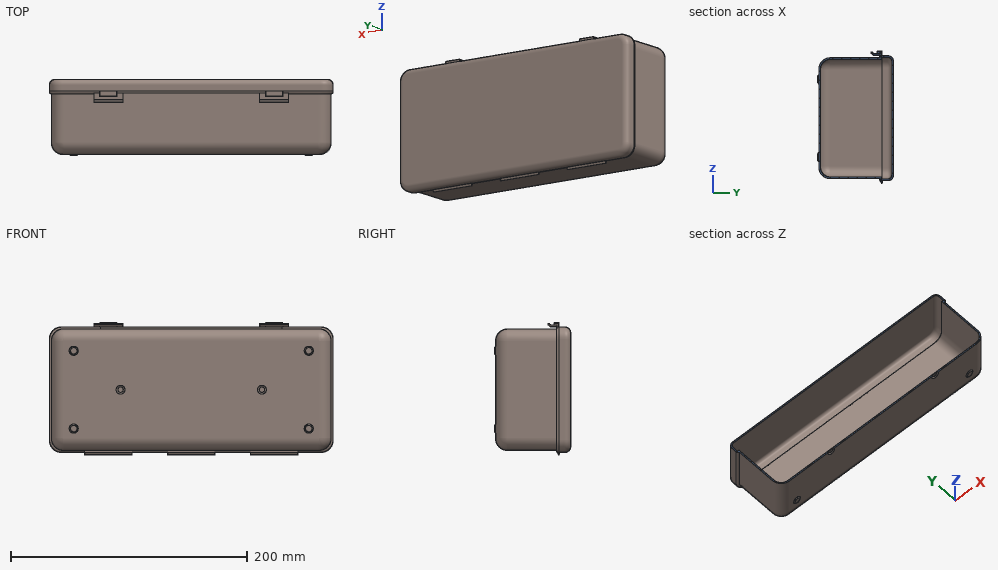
import cadquery as cq


lid_length = 240.5
lid_height = 106.3
wall = 1.7
box_length = lid_length - 2 * wall
box_height = lid_height - 2 * wall
floor_y = -31.5
seam_y = 22.0
lid_top_y = 32.2
corner_radius = 10.3
floor_edge_radius = 10.0
lid_edge_radius = 5.0

bead_depth = 2.2
ledge_depth = 1.5
latch_ledge_length = 153.4

foot_height = 0.7
foot_base_diameter = 7.7
foot_tip_diameter = 5.5
foot_x = 99.5
foot_z = 33.0
dimple_depth = 0.7
dimple_mouth_diameter = 7.5
dimple_floor_diameter = 4.5
dimple_x = 59.9

fitting_pitch = 70.2
rim_z = lid_height / 2
hinge_length = 40.1
hinge_front = 1.2
hinge_back = 0.7
hinge_drop = 2.2
hinge_tip_width = 0.2
hinge_ledge_length = 2 * fitting_pitch + hinge_length

lever_length = 24.5
lever_thickness = 1.7
lever_back_y = seam_y - ledge_depth
lever_bend_y = 15.0
lever_front_y = 12.7
lever_top_z = rim_z + 3.1
lever_lip_width = 1.0

hook_length = 15.0
hook_front_y = 17.8
hook_top_z = rim_z + 3.5
hook_chamfer = 0.5


def rounded_block(length, height, low_y, high_y, plan_radius, edge_radius, rounded_side):
    """Block between two Y planes, with rounded corners and one end face rounded over."""
    block = cq.Workplane("XY").box(length, high_y - low_y, height)
    block = block.translate((0, (high_y + low_y) / 2, 0))
    block = block.edges("|Y").fillet(plan_radius)
    return block.faces(rounded_side).edges().fillet(edge_radius)


def span_block(length, low_y, high_y, low_z, high_z):
    """Plain block centred on X, given by its Y and Z limits."""
    block = cq.Workplane("XY").box(length, high_y - low_y, high_z - low_z)
    return block.translate((0, (low_y + high_y) / 2, (low_z + high_z) / 2))


def floor_cone(x, z, floor_diameter, end_diameter, end_y):
    """Truncated cone from the box floor to a parallel plane at end_y."""
    offset = floor_y - end_y
    plane = cq.Plane(origin=(x, floor_y, z), xDir=(1, 0, 0), normal=(0, -1, 0))
    profile = cq.Workplane(plane).circle(floor_diameter / 2)
    return profile.workplane(offset=offset).circle(end_diameter / 2).loft()


def extrude_along_x(points, length, x):
    """Prism with a YZ outline, centred at x."""
    prism = cq.Workplane("YZ").polyline(points).close().extrude(length / 2, both=True)
    return prism.translate((x, 0, 0))


def make_rim():
    """Rounded bead around the box mouth, with a square ledge at the latches and at the hinges."""
    bead_y = seam_y - bead_depth
    ledge_y = seam_y - ledge_depth
    wall_z = box_height / 2
    rim = rounded_block(lid_length, lid_height, bead_y, seam_y, corner_radius, wall, "<Y")
    for length, low_z, high_z in (
        (latch_ledge_length, wall_z, rim_z),
        (hinge_ledge_length, -rim_z, -wall_z),
    ):
        rim = rim.cut(span_block(length, bead_y, seam_y, low_z, high_z))
        rim = rim.union(span_block(length, ledge_y, seam_y, low_z, high_z))
    return rim


def make_box():
    box = rounded_block(box_length, box_height, floor_y, seam_y, corner_radius, floor_edge_radius, "<Y")
    box = box.union(make_rim())
    cavity = rounded_block(
        box_length - 2 * wall,
        box_height - 2 * wall,
        floor_y + wall,
        seam_y,
        corner_radius - wall,
        floor_edge_radius - wall,
        "<Y",
    )
    box = box.cut(cavity)
    for x in (-foot_x, foot_x):
        for z in (-foot_z, foot_z):
            box = box.union(floor_cone(x, z, foot_base_diameter, foot_tip_diameter, floor_y - foot_height))
    for x in (-dimple_x, dimple_x):
        box = box.cut(floor_cone(x, 0, dimple_mouth_diameter, dimple_floor_diameter, floor_y + dimple_depth))
    return box


def make_lid():
    lid = rounded_block(lid_length, lid_height, seam_y, lid_top_y, corner_radius, lid_edge_radius, ">Y")
    cavity = rounded_block(
        lid_length - 2 * wall,
        lid_height - 2 * wall,
        seam_y,
        lid_top_y - wall,
        corner_radius - wall,
        lid_edge_radius - wall,
        ">Y",
    )
    return lid.cut(cavity)


def make_hinge(x):
    """Wedge under the seam, touching both the box ledge and the lid."""
    tip_z = -rim_z - hinge_drop
    outline = [
        (seam_y - hinge_front, -rim_z),
        (seam_y + hinge_back, -rim_z),
        (seam_y + hinge_tip_width / 2, tip_z),
        (seam_y - hinge_tip_width / 2, tip_z),
    ]
    return extrude_along_x(outline, hinge_length, x)


def make_lever(x):
    """Flat latch plate whose front end is bent up at 45 degrees into a finger lip."""
    plate_top_z = rim_z + lever_thickness
    lip_back_y = lever_front_y + lever_lip_width
    outline = [
        (lever_back_y, rim_z),
        (lever_bend_y, rim_z),
        (lever_front_y, rim_z + lever_bend_y - lever_front_y),
        (lever_front_y, lever_top_z),
        (lip_back_y, lever_top_z),
        (lip_back_y + lever_top_z - plate_top_z, plate_top_z),
        (lever_back_y, plate_top_z),
    ]
    return extrude_along_x(outline, lever_length, x)


def make_hook(x):
    """Catch standing on the box ledge behind the lever and reaching forward over it."""
    plate_top_z = rim_z + lever_thickness
    block = span_block(hook_length, hook_front_y, seam_y, plate_top_z, hook_top_z)
    block = block.faces(">Z").edges("<Y or <X or >X").chamfer(hook_chamfer)
    root = span_block(hook_length, lever_back_y, seam_y, rim_z, plate_top_z)
    return block.union(root).translate((x, 0, 0))


box = make_box()
lid = make_lid()
hinges = [make_hinge(x) for x in (-fitting_pitch, 0, fitting_pitch)]
levers = [make_lever(x) for x in (-fitting_pitch, fitting_pitch)]
hooks = [make_hook(x) for x in (-fitting_pitch, fitting_pitch)]

bodies = [box, lid, *hinges, *levers, *hooks]
result = cq.Compound.makeCompound([body.val() for body in bodies])